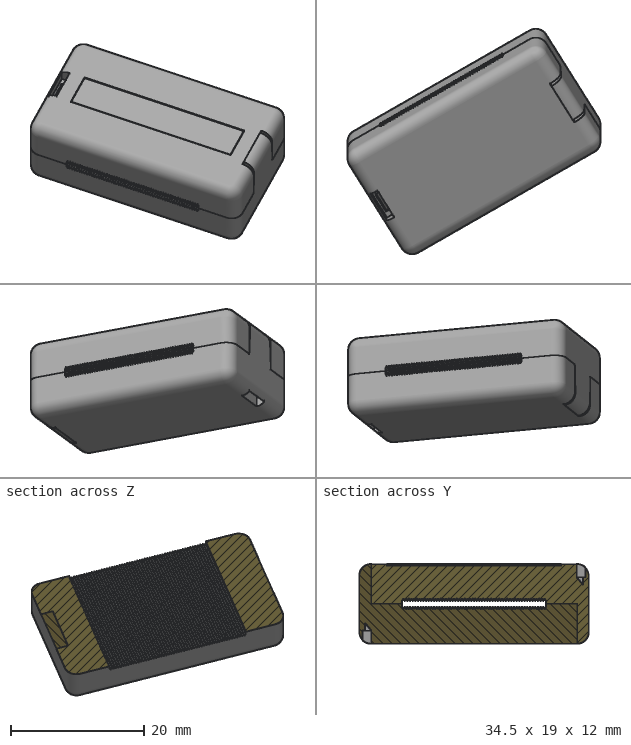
import cadquery as cq
LENGTH = 34.5
WIDTH = 19.0
HEIGHT = 12.0
EDGE_RADIUS = 1.83

SLOT_WIDTH = 21.6
TOOTH_COUNT = 54
TOOTH_PITCH = SLOT_WIDTH / TOOTH_COUNT
TOOTH_TIP_Z = 0.4
TOOTH_ROOT_Z = 0.8

RECESS_WIDTH = 7.1
TONGUE_TIP_WIDTH = 6.2

POCKET_OUTER_X = 16.7
POCKET_WIDTH = 4.9
POCKET_DEPTH = 2.0
RAMP_OUTER_X = 16.35
RAMP_WIDTH = 3.17
RAMP_DROP = 1.1

LABEL_LENGTH = 26.08
LABEL_WIDTH = 5.15
LABEL_THICKNESS = 0.1
LABEL_SINK = 0.1

HALF_LENGTH = LENGTH / 2
HALF_HEIGHT = HEIGHT / 2
TONGUE_INNER_X = HALF_LENGTH - EDGE_RADIUS


def box_between(x_min, x_max, width, z_min, z_max):
    """Box between two X and two Z limits, centred on Y = 0."""
    return cq.Workplane("XY").box(
        x_max - x_min, width, z_max - z_min, centered=(False, True, False)
    ).translate((x_min, 0, z_min))


def rounded_case():
    return cq.Workplane("XY").box(LENGTH, WIDTH, HEIGHT).edges().fillet(EDGE_RADIUS)


def cable_slot():
    """Through slot with triangular teeth on its upper and lower walls."""
    half_width = SLOT_WIDTH / 2
    upper = [(-half_width, TOOTH_TIP_Z)]
    for tooth in range(TOOTH_COUNT):
        start = -half_width + tooth * TOOTH_PITCH
        upper.append((start + TOOTH_PITCH / 2, TOOTH_ROOT_Z))
        upper.append((start + TOOTH_PITCH, TOOTH_TIP_Z))
    lower = [(x, -z) for x, z in reversed(upper)]
    return cq.Workplane("XZ").polyline(upper + lower).close().extrude(WIDTH / 2, both=True)


def tongue_wedge():
    """Tapered prism at the -X end, narrowing from the parting plane down to the bottom."""
    root_y = RECESS_WIDTH / 2
    tip_y = TONGUE_TIP_WIDTH / 2
    outline = [(-root_y, 0), (root_y, 0), (tip_y, -HALF_HEIGHT), (-tip_y, -HALF_HEIGHT)]
    return (
        cq.Workplane("YZ", origin=(-HALF_LENGTH, 0, 0))
        .polyline(outline)
        .close()
        .extrude(EDGE_RADIUS)
    )


def key_pocket():
    """Pocket open to the top at the -X end, with a hollow that slopes down towards -X."""
    floor_z = HALF_HEIGHT - POCKET_DEPTH
    pocket = box_between(-POCKET_OUTER_X, -TONGUE_INNER_X, POCKET_WIDTH, floor_z, HALF_HEIGHT)
    ramp_outline = [
        (-TONGUE_INNER_X, floor_z),
        (-RAMP_OUTER_X, floor_z),
        (-RAMP_OUTER_X, floor_z - RAMP_DROP),
    ]
    hollow = cq.Workplane("XZ").polyline(ramp_outline).close().extrude(RAMP_WIDTH / 2, both=True)
    return pocket.union(hollow)


def case_half():
    """Upper half: tongue reaching down at -X, recess for the other half's tongue at +X."""
    case = rounded_case()
    upper_space = box_between(-HALF_LENGTH, HALF_LENGTH, WIDTH, 0, HALF_HEIGHT)
    recess = box_between(TONGUE_INNER_X, HALF_LENGTH, RECESS_WIDTH, 0, HALF_HEIGHT)
    envelope = upper_space.cut(recess).union(tongue_wedge())
    return case.intersect(envelope).cut(cable_slot()).cut(key_pocket())


def label_plate():
    top_z = HALF_HEIGHT - LABEL_SINK
    half_label = LABEL_LENGTH / 2
    return box_between(-half_label, half_label, LABEL_WIDTH, top_z - LABEL_THICKNESS, top_z)


def label_recess():
    half_label = LABEL_LENGTH / 2
    floor_z = HALF_HEIGHT - LABEL_SINK - LABEL_THICKNESS
    return box_between(-half_label, half_label, LABEL_WIDTH, floor_z, HALF_HEIGHT)


lower_half = case_half().mirror("XY").mirror("YZ")
upper_half = case_half().cut(label_recess())
label = label_plate()

result = cq.Compound.makeCompound([
    *upper_half.solids().vals(),
    *lower_half.solids().vals(),
    label.val(),
])